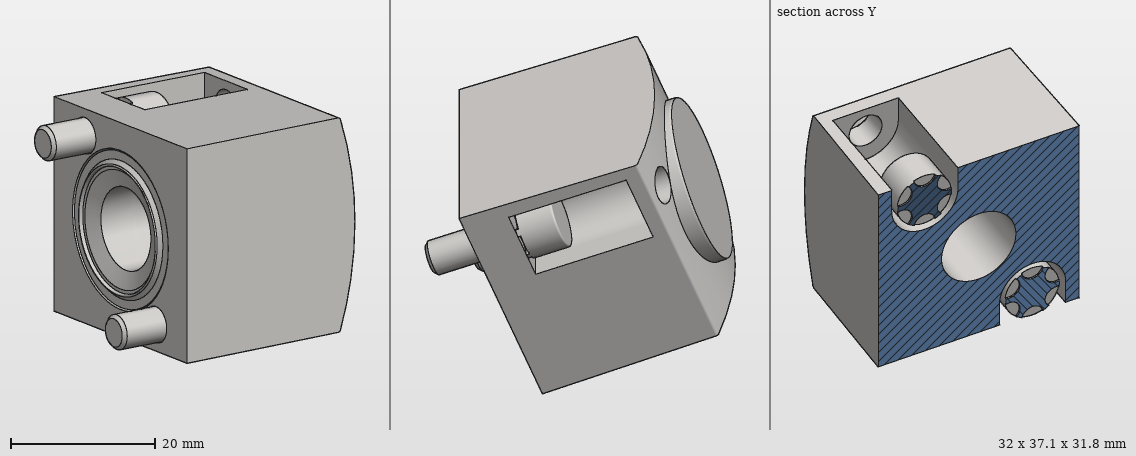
import cadquery as cq
import math


front_width = 32.0
height = 31.02
crown_depth = 28.95
crown_radius = 47.55
crown_edge_fillet = 0.5
draft_angle = 1.0
draft_slope = math.tan(math.radians(draft_angle))

boss_top_depth = 29.98
boss_top_diameter = 23.5
boss_edge_chamfer = 0.3
boss_edge_inset = 0.07

funnel_diameter = 17.1
funnel_depth = 0.93
bore_diameter = 12.0
taper_start = 5.9
taper_length = 0.7
inner_bore_diameter = 11.65

seal_groove_outer_diameter = 23.0
seal_inner_diameter = 18.1
seal_groove_depth = 2.0
seal_outer_diameter = 22.5
seal_recess = 0.15
lip_base_diameter = 19.95
lip_crest_diameter = 18.75
lip_cone_projection = 0.4

overall_length = 37.15
screw_x = -8.5
screw_z = 11.645
screw_positions = [(screw_x, screw_z), (-screw_x, -screw_z)]
shank_diameter = 5.0
screw_hole_diameter = 5.2
screw_projection = overall_length - boss_top_depth
shank_tip_chamfer_length = 0.52
shank_tip_chamfer_inset = 0.5
head_diameter = 8.5
head_end = 12.35
head_fillet = 0.3
scallop_count = 6
scallop_radius = 1.67
scallop_depth = 0.45

pocket_width = 10.35
pocket_start = 6.5
pocket_end = 24.0

bore_depth = pocket_end


def rod(diameter, start, end, x=0, z=0):
    """Cylinder parallel to Y between two Y positions."""
    plane = cq.Workplane("XZ", origin=(x, start, z))
    return plane.circle(diameter / 2).extrude(start - end)


def turned(outline):
    """Revolve a closed (radius, Y) outline about the Y axis."""
    return outline.close().revolve(360, (0, 0, 0), (0, 1, 0))


def make_block():
    """Crowned side outline, with the two X sides drafted towards the back."""
    half_height = height / 2
    sagitta = crown_radius - math.sqrt(crown_radius**2 - half_height**2)
    corner_depth = crown_depth - sagitta
    crowned = (
        cq.Workplane("YZ")
        .moveTo(0, -half_height)
        .lineTo(corner_depth, -half_height)
        .threePointArc((crown_depth, 0), (corner_depth, half_height))
        .lineTo(0, half_height)
        .close()
        .extrude(front_width / 2, both=True)
        .edges("|X")
        .edges(">Y")
        .fillet(crown_edge_fillet)
    )
    half_front = front_width / 2
    half_back = half_front - crown_depth * draft_slope
    drafted = (
        cq.Workplane("XY")
        .polyline([(-half_front, 0), (half_front, 0), (half_back, crown_depth), (-half_back, crown_depth)])
        .close()
        .extrude(height / 2, both=True)
    )
    return crowned.intersect(drafted)


def make_boss():
    """Drafted round boss, rooted inside the block, with a fine edge chamfer."""
    top_radius = boss_top_diameter / 2
    root_depth = pocket_end
    rim_depth = boss_top_depth - boss_edge_chamfer
    root_radius = top_radius + (rim_depth - root_depth) * draft_slope
    return turned(
        cq.Workplane("XY")
        .moveTo(0, root_depth)
        .lineTo(root_radius, root_depth)
        .lineTo(top_radius, rim_depth)
        .lineTo(top_radius - boss_edge_inset, boss_top_depth)
        .lineTo(0, boss_top_depth)
    )


def make_bore():
    """Funnel mouth and a blind bore that tapers to a slightly smaller diameter."""
    return turned(
        cq.Workplane("XY")
        .lineTo(funnel_diameter / 2, 0)
        .lineTo(bore_diameter / 2, funnel_depth)
        .lineTo(bore_diameter / 2, taper_start)
        .lineTo(inner_bore_diameter / 2, taper_start + taper_length)
        .lineTo(inner_bore_diameter / 2, bore_depth)
        .lineTo(0, bore_depth)
    )


def make_seal_groove():
    """Annular groove in the connecting face."""
    return rod(seal_groove_outer_diameter, 0, seal_groove_depth).cut(
        rod(seal_inner_diameter, 0, seal_groove_depth)
    )


def make_pocket(x, z):
    """Pocket with a round bottom about the screw axis, open to the nearest Z face."""
    outward = math.copysign(height / 2, z)
    opening = cq.Workplane("XY").box(
        pocket_width, pocket_end - pocket_start, height / 2, centered=(True, False, True)
    )
    opening = opening.translate((x, pocket_start, z + outward / 2))
    return rod(pocket_width, pocket_start, pocket_end, x, z).union(opening)


def make_housing():
    """Block and boss, cut by the bore, the seal groove, the pockets and the screw holes."""
    housing = make_block().union(make_boss()).cut(make_bore()).cut(make_seal_groove())
    for x, z in screw_positions:
        housing = housing.cut(make_pocket(x, z))
        axis_hole = rod(screw_hole_diameter, 0, boss_top_depth, x, z)
        housing = housing.cut(axis_hole)
    return housing


def make_seal():
    """Flat ring just below the connecting face, with a conical lip and a rounded crest."""
    inner_radius = seal_inner_diameter / 2
    crest_radius = lip_crest_diameter / 2
    crest_middle = (inner_radius + crest_radius) / 2
    crest_height = lip_cone_projection + (crest_radius - inner_radius) / 2
    return turned(
        cq.Workplane("XY")
        .moveTo(inner_radius, seal_groove_depth)
        .lineTo(seal_outer_diameter / 2, seal_groove_depth)
        .lineTo(seal_outer_diameter / 2, seal_recess)
        .lineTo(lip_base_diameter / 2, seal_recess)
        .lineTo(crest_radius, -lip_cone_projection)
        .threePointArc((crest_middle, -crest_height), (inner_radius, -lip_cone_projection))
    )


def make_screw(x, z):
    """Cylinder head with scallops around its seat, on a shank with a chamfered tip."""
    head = rod(head_diameter, pocket_start, head_end).faces(">Y").edges().fillet(head_fillet)
    for index in range(scallop_count):
        angle = math.radians(90 + index * 360 / scallop_count)
        scallop_x = head_diameter / 2 * math.cos(angle)
        scallop_z = head_diameter / 2 * math.sin(angle)
        head = head.cut(
            rod(2 * scallop_radius, pocket_start, pocket_start + scallop_depth, scallop_x, scallop_z)
        )
    shank = rod(shank_diameter, -screw_projection, pocket_start)
    shank = shank.faces("<Y").chamfer(shank_tip_chamfer_length, shank_tip_chamfer_inset)
    return head.union(shank).translate((x, 0, z))


housing = make_housing()
seal = make_seal()
screws = [make_screw(x, z) for x, z in screw_positions]

result = cq.Compound.makeCompound([housing.val(), seal.val(), *[screw.val() for screw in screws]])